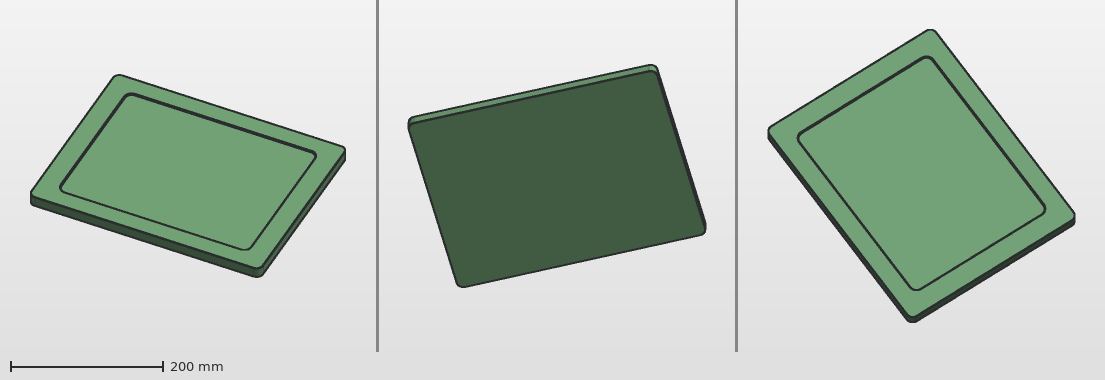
import cadquery as cq

length = 338.0
width = 266.0
thickness = 16.0
corner_radius = 9.5
edge_break = 0.7

rim_length = 279.0
rim_width = 214.2
rim_corner_radius = 11.0
rim_chamfer = 1.5
wall_height = 0.7
pocket_depth = rim_chamfer + wall_height
pocket_length = rim_length - 2 * rim_chamfer
pocket_width = rim_width - 2 * rim_chamfer
pocket_corner_radius = rim_corner_radius - rim_chamfer


def rounded_slab(size_x, size_y, height, radius):
    """Centred rectangular slab standing on the XY plane with rounded upright edges."""
    slab = cq.Workplane("XY").box(size_x, size_y, height, centered=(True, True, False))
    return slab.edges("|Z").fillet(radius)


def make_plate():
    """Plate with a small chamfer around its top and bottom faces."""
    slab = rounded_slab(length, width, thickness, corner_radius)
    return slab.faces("<Z or >Z").chamfer(edge_break)


def cut_pocket(plate):
    """Sink the straight-walled pocket into the top face, then chamfer its rim."""
    floor_height = thickness - pocket_depth
    volume = rounded_slab(pocket_length, pocket_width, pocket_depth, pocket_corner_radius)
    sunk = plate.cut(volume.translate((0, 0, floor_height)))
    rim = sunk.faces(">Z").val().innerWires()[0]
    return sunk.newObject(rim.Edges()).chamfer(rim_chamfer)


result = cut_pocket(make_plate())